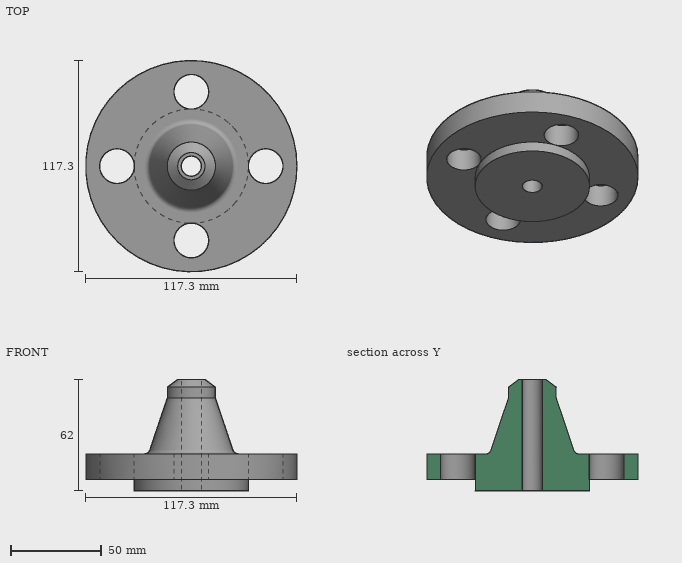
import cadquery as cq
import math

total_height = 62.0

flange_diameter = 117.3
flange_thickness = 14.3
face_diameter = 63.5
face_height = 6.3

hub_base_diameter = 47.6
hub_fillet_radius = 3.0
neck_diameter = 26.7
neck_height = 6.0
weld_bevel_height = 4.3
weld_land_diameter = 15.1
bore_diameter = 11.0

bolt_count = 4
bolt_circle_diameter = 82.5
bolt_hole_diameter = 19.1

flange_top = face_height + flange_thickness
bevel_bottom = total_height - weld_bevel_height
hub_top = bevel_bottom - neck_height


def fillet_arc():
    """Start, middle and end of the arc joining the flange top to the hub cone, as (radius, z)."""
    base_radius = hub_base_diameter / 2
    taper = math.atan2(base_radius - neck_diameter / 2, hub_top - flange_top)
    turn = math.pi / 2 - taper
    tangent_length = hub_fillet_radius * math.tan(turn / 2)
    center_radius = base_radius + tangent_length
    center_z = flange_top + hub_fillet_radius

    def point(angle):
        return (
            center_radius - hub_fillet_radius * math.sin(angle),
            center_z - hub_fillet_radius * math.cos(angle),
        )

    return point(0), point(turn / 2), point(turn)


def turned_body():
    """Flange, raised face and hub revolved about Z, with the bore left open."""
    fillet_start, fillet_middle, fillet_end = fillet_arc()
    profile = (
        cq.Workplane("XZ")
        .moveTo(bore_diameter / 2, 0)
        .lineTo(face_diameter / 2, 0)
        .lineTo(face_diameter / 2, face_height)
        .lineTo(flange_diameter / 2, face_height)
        .lineTo(flange_diameter / 2, flange_top)
        .lineTo(*fillet_start)
        .threePointArc(fillet_middle, fillet_end)
        .lineTo(neck_diameter / 2, hub_top)
        .lineTo(neck_diameter / 2, bevel_bottom)
        .lineTo(weld_land_diameter / 2, total_height)
        .lineTo(bore_diameter / 2, total_height)
        .close()
    )
    return profile.revolve(360, (0, 0, 0), (0, 1, 0))


def bolt_holes():
    """Cylinders on the bolt circle, passing through the whole flange plate."""
    return (
        cq.Workplane("XY")
        .workplane(offset=face_height)
        .polarArray(bolt_circle_diameter / 2, 0, 360, bolt_count)
        .circle(bolt_hole_diameter / 2)
        .extrude(flange_thickness)
    )


result = turned_body().cut(bolt_holes())